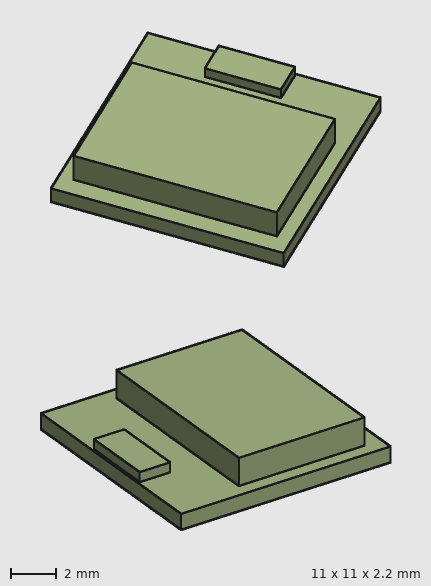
import cadquery as cq

BOARD_SIDE = 11.0
BOARD_THICKNESS = 0.8

SHIELD_WIDTH = 9.6
SHIELD_DEPTH = 6.6
SHIELD_HEIGHT = 1.4
SHIELD_FRONT_MARGIN = 0.9

CHIP_WIDTH = 3.6
CHIP_DEPTH = 1.6
CHIP_HEIGHT = 0.5
CHIP_LEFT_MARGIN = 3.4
CHIP_BACK_MARGIN = 0.1

BOARD_EDGE = BOARD_SIDE / 2


def block(width, depth, height, left, front, bottom):
    """Rectangular block placed by its -X, -Y, -Z corner."""
    return cq.Workplane("XY").box(width, depth, height, centered=False).translate((left, front, bottom))


def make_board():
    return block(BOARD_SIDE, BOARD_SIDE, BOARD_THICKNESS, -BOARD_EDGE, -BOARD_EDGE, 0)


def make_shield():
    left = -SHIELD_WIDTH / 2
    front = -BOARD_EDGE + SHIELD_FRONT_MARGIN
    return block(SHIELD_WIDTH, SHIELD_DEPTH, SHIELD_HEIGHT, left, front, BOARD_THICKNESS)


def make_chip():
    left = -BOARD_EDGE + CHIP_LEFT_MARGIN
    front = BOARD_EDGE - CHIP_BACK_MARGIN - CHIP_DEPTH
    return block(CHIP_WIDTH, CHIP_DEPTH, CHIP_HEIGHT, left, front, BOARD_THICKNESS)


board = make_board()
shield = make_shield()
chip = make_chip()

result = cq.Compound.makeCompound([board.val(), shield.val(), chip.val()])